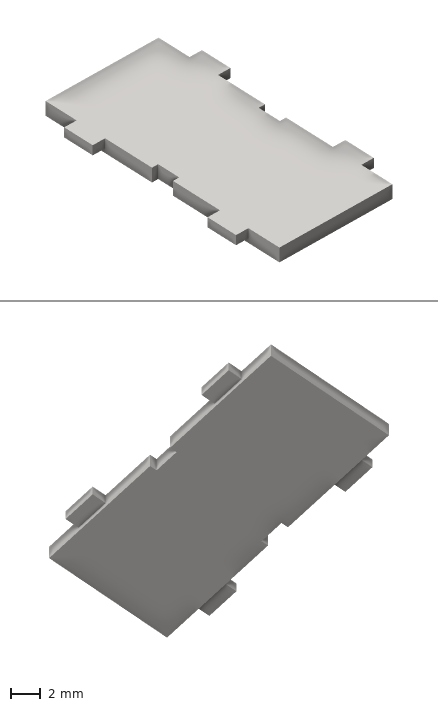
import cadquery as cq

plate_length = 23.0
plate_width = 10.5
plate_thickness = 1.25

bar_length = 12.8
bar_width = 2.8
bar_thickness = 0.85
bar_spacing = 14.1

notch_length = 2.07
notch_depth = 0.58


def make_plate():
    """Rectangular plate with its underside at Z = 0."""
    return cq.Workplane("XY").box(
        plate_length, plate_width, plate_thickness, centered=(True, True, False)
    )


def make_crossbars():
    """Two bars running along Y, with their tops level with the plate."""
    return (
        cq.Workplane("XY", origin=(0, 0, plate_thickness))
        .pushPoints([(-bar_spacing / 2, 0), (bar_spacing / 2, 0)])
        .rect(bar_width, bar_length)
        .extrude(-bar_thickness)
    )


def make_notches():
    """Cutters centred on the long edges, so half of each lies in the plate."""
    return (
        cq.Workplane("XY")
        .pushPoints([(0, -plate_width / 2), (0, plate_width / 2)])
        .rect(notch_length, 2 * notch_depth)
        .extrude(plate_thickness)
    )


result = make_plate().cut(make_notches()).union(make_crossbars())